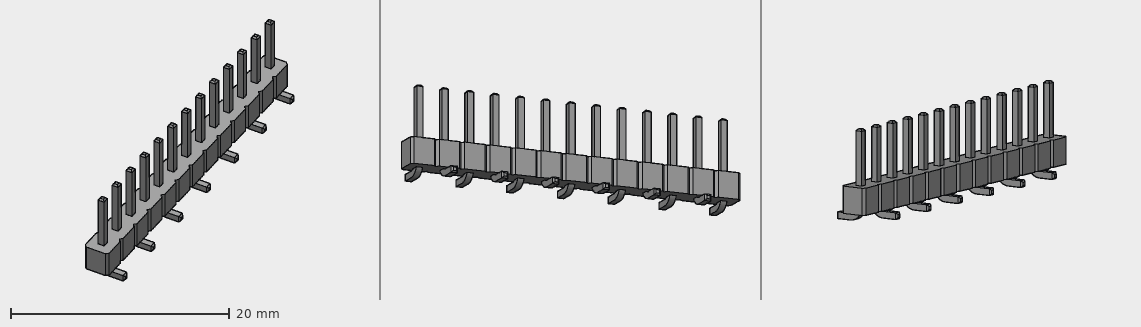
import cadquery as cq

PIN_COUNT = 13
HEADER_LENGTH = 33.02
PITCH = HEADER_LENGTH / PIN_COUNT

BODY_WIDTH = PITCH
BODY_HEIGHT = PITCH
BODY_CHAMFER = PITCH / 10
BODY_BOTTOM = 0.75

PIN_SIZE = PITCH / 4
PIN_TOP = 8.55
FOOT_SPAN = 5.0
BEND_OUTER_RADIUS = 2 * PIN_SIZE
TIP_SIZE = PIN_SIZE / 2
TIP_LENGTH = 0.15


def pin_y(index):
    """Y position of a pin, counted from the -Y end of the row."""
    return (index - (PIN_COUNT - 1) / 2) * PITCH


def body_block(y):
    """One body block with its four vertical edges chamfered."""
    return (
        cq.Workplane("XY")
        .box(BODY_WIDTH, PITCH, BODY_HEIGHT, centered=(True, True, False))
        .edges("|Z")
        .chamfer(BODY_CHAMFER)
        .translate((0, y, BODY_BOTTOM))
    )


def tapered_tip():
    """Square pyramid frustum pointing along +Z from the origin."""
    return (
        cq.Workplane("XY")
        .rect(PIN_SIZE, PIN_SIZE)
        .workplane(offset=TIP_LENGTH)
        .rect(TIP_SIZE, TIP_SIZE)
        .loft(ruled=True)
    )


def bent_pin():
    """Vertical post, quarter bend and foot pointing along +X, with tapered ends."""
    half = PIN_SIZE / 2
    post_end = PIN_TOP - TIP_LENGTH
    foot_end = FOOT_SPAN / 2 - TIP_LENGTH
    bend_radius = BEND_OUTER_RADIUS - half

    path = (
        cq.Workplane("XZ")
        .moveTo(0, post_end)
        .lineTo(0, BEND_OUTER_RADIUS)
        .radiusArc((bend_radius, half), -bend_radius)
        .lineTo(foot_end, half)
    )
    wire = cq.Workplane("XY", origin=(0, 0, post_end)).rect(PIN_SIZE, PIN_SIZE).sweep(path)
    post_tip = tapered_tip().translate((0, 0, post_end))
    foot_tip = tapered_tip().rotate((0, 0, 0), (0, 1, 0), 90).translate((foot_end, 0, half))
    return wire.union(post_tip).union(foot_tip)


right_pin = bent_pin()
left_pin = right_pin.rotate((0, 0, 0), (0, 0, 1), 180)

result = body_block(pin_y(0))
for index in range(1, PIN_COUNT):
    result = result.union(body_block(pin_y(index)))

for index in range(PIN_COUNT):
    pin = right_pin if index % 2 == 0 else left_pin
    result = result.union(pin.translate((0, pin_y(index), 0)))